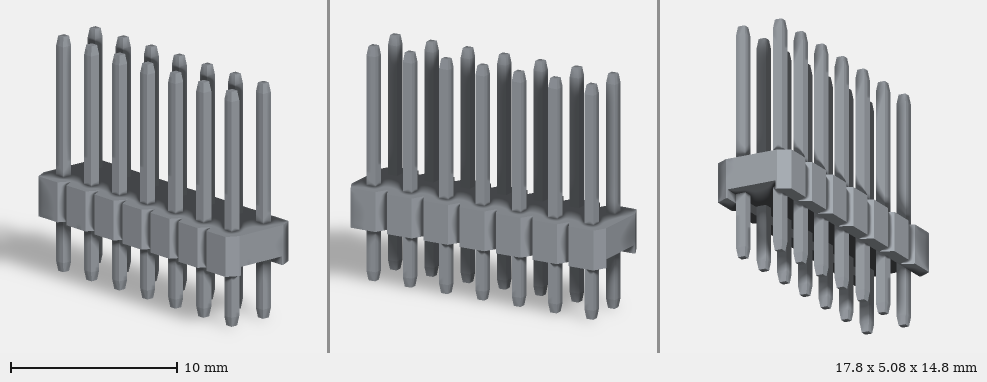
import cadquery as cq

columns = 7
rows = 2
body_length = 17.78
pitch = body_length / columns
body_width = rows * pitch
body_height = 2.5

notch_depth = 0.78
notch_half_width = 0.41

channel_width = 3.3
channel_depth = 0.55

pin_width = 0.64
pin_tip_width = 0.46
pin_taper_height = 0.6
pin_length = 14.75
pin_below_body = 3.48


def make_body():
    """Notched block with its underside at Z = 0 and a channel along X."""
    body = cq.Workplane("XY").box(
        body_length, body_width, body_height, centered=(True, True, False)
    )
    for boundary in range(columns + 1):
        x = boundary * pitch - body_length / 2
        for side in (-1, 1):
            edge_y = side * body_width / 2
            notch = (
                cq.Workplane("XY")
                .moveTo(x - notch_half_width, edge_y)
                .lineTo(x + notch_half_width, edge_y)
                .lineTo(x, edge_y - side * notch_depth)
                .close()
                .extrude(body_height)
            )
            body = body.cut(notch)
    channel = cq.Workplane("XY").box(
        body_length, channel_width, channel_depth, centered=(True, True, False)
    )
    return body.cut(channel)


def make_pin():
    """Square pin on the Z axis, tapered at both ends."""
    shaft_bottom = pin_taper_height - pin_below_body
    shaft_length = pin_length - 2 * pin_taper_height
    shaft = (
        cq.Workplane("XY")
        .workplane(offset=shaft_bottom)
        .rect(pin_width, pin_width)
        .extrude(shaft_length)
    )
    pin = shaft
    for end_face in (">Z", "<Z"):
        tip = (
            shaft.faces(end_face)
            .workplane()
            .rect(pin_width, pin_width)
            .workplane(offset=pin_taper_height)
            .rect(pin_tip_width, pin_tip_width)
            .loft(combine=False)
        )
        pin = pin.union(tip)
    return pin


result = make_body()
pin = make_pin()
for column in range(columns):
    for row in range(rows):
        x = (column - (columns - 1) / 2) * pitch
        y = (row - (rows - 1) / 2) * pitch
        result = result.union(pin.translate((x, y, 0)))